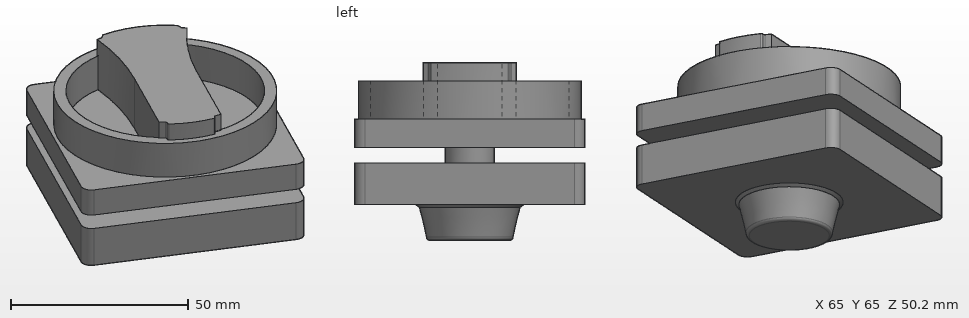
import cadquery as cq

side = 65.0
corner_radius = 3.0
base_height = 11.8
gap_height = 4.3
plate_height = 8.05
shaft_radius = 6.95

ring_height = 10.8
ring_outer_radius = 31.45
ring_inner_radius = 28.0

head_height = 5.15
head_radius = 28.35
nose_radius = 29.45
grip_half_width = 9.05
flare_radius = 78.65
nose_half_width = 6.9
flare_nose_root = (-25.35, 11.9)
flare_nose_tip = (-27.35, 10.9)
nose_edge_radius = 0.45
nose_margin = 0.5

boss_depth = 10.1
boss_flare_radius = 15.2
boss_flare_depth = 0.8
boss_neck_radius = 14.25
boss_waist_radius = 13.1
boss_foot_radius = 12.2
boss_edge = 0.9

shaft_bottom = base_height
plate_bottom = shaft_bottom + gap_height
plate_top = plate_bottom + plate_height
ring_top = plate_top + ring_height
reach = side / 2


def disc(radius, bottom, height):
    """Upright cylinder whose seam faces -Y, clear of the nose ends."""
    cylinder = cq.Workplane("XY").workplane(offset=bottom).circle(radius).extrude(height)
    return cylinder.rotate((0, 0, 0), (0, 0, 1), -90)


def rounded_square(bottom, height):
    block = cq.Workplane("XY").workplane(offset=bottom).rect(side, side).extrude(height)
    return block.edges("|Z").fillet(corner_radius)


def flank_y(x):
    """Half width of the grip on its flared stretch, where x <= 0."""
    return grip_half_width + flare_radius - (flare_radius**2 - x**2) ** 0.5


def grip_bar(bottom, height):
    """Bar with straight flanks for x > 0 and tangent concave flanks for x < 0."""
    middle = flank_y(-reach / 2)
    end = flank_y(-reach)
    return (
        cq.Workplane("XY").workplane(offset=bottom)
        .moveTo(reach, -grip_half_width)
        .lineTo(reach, grip_half_width)
        .lineTo(0, grip_half_width)
        .threePointArc((-reach / 2, middle), (-reach, end))
        .lineTo(-reach, -end)
        .threePointArc((-reach / 2, -middle), (0, -grip_half_width))
        .close()
        .extrude(height)
    )


def nose_bar(bottom, height):
    """Narrower bar that leaves the stepped noses at both ends of the head."""
    root_x, root_y = flare_nose_root
    tip_x, tip_y = flare_nose_tip
    slope = (root_y - tip_y) / (root_x - tip_x)
    end_y = root_y - slope * (root_x + reach)
    upper = [(reach, nose_half_width), (0, nose_half_width), (root_x, root_y), (-reach, end_y)]
    lower = [(x, -y) for x, y in reversed(upper)]
    bar = cq.Workplane("XY").workplane(offset=bottom).polyline(upper + lower).close()
    return bar.extrude(height).intersect(disc(nose_radius, bottom, height))


def make_head():
    """Overhanging top of the handle, with both corners of each nose step rounded."""
    tier = grip_bar(ring_top, head_height).intersect(disc(head_radius, ring_top, head_height))
    head = tier.union(nose_bar(ring_top, head_height))
    flare_root_x, flare_root_y = flare_nose_root
    straight_root_x = (head_radius**2 - nose_half_width**2) ** 0.5
    straight_zone = nose_zone(straight_root_x - nose_margin, reach, nose_half_width + nose_margin)
    flare_zone = nose_zone(-reach, flare_root_x + nose_margin, flare_root_y + nose_margin)
    return head.edges("|Z").edges(straight_zone + flare_zone).fillet(nose_edge_radius)


def nose_zone(x_start, x_end, half_width):
    """Selector box that holds the upright edges of the nose steps at one end."""
    return cq.selectors.BoxSelector(
        (x_start, -half_width, ring_top), (x_end, half_width, ring_top + head_height)
    )


def make_handle():
    grip = grip_bar(plate_top, ring_height).intersect(disc(ring_inner_radius, plate_top, ring_height))
    return grip.union(make_head())


def make_ring():
    return disc(ring_outer_radius, plate_top, ring_height).cut(
        disc(ring_inner_radius, plate_top, ring_height)
    )


def make_boss():
    foot_z = boss_edge - boss_depth
    edge_mid = boss_edge * 0.5**0.5
    profile = (
        cq.Workplane("XZ")
        .lineTo(boss_flare_radius, 0)
        .lineTo(boss_neck_radius, -boss_flare_depth)
        .threePointArc(
            (boss_waist_radius, (foot_z - boss_flare_depth) / 2), (boss_foot_radius, foot_z)
        )
        .threePointArc(
            (boss_foot_radius - boss_edge + edge_mid, foot_z - edge_mid),
            (boss_foot_radius - boss_edge, -boss_depth),
        )
        .lineTo(0, -boss_depth)
        .close()
    )
    return profile.revolve(360, (0, 0, 0), (0, 1, 0))


base = rounded_square(0, base_height)
boss = make_boss()
shaft = disc(shaft_radius, shaft_bottom, gap_height)
plate = rounded_square(plate_bottom, plate_height)
ring = make_ring()
handle = make_handle()

result = cq.Compound.makeCompound(
    [base.val(), boss.val(), shaft.val(), plate.val(), ring.val(), handle.val()]
)